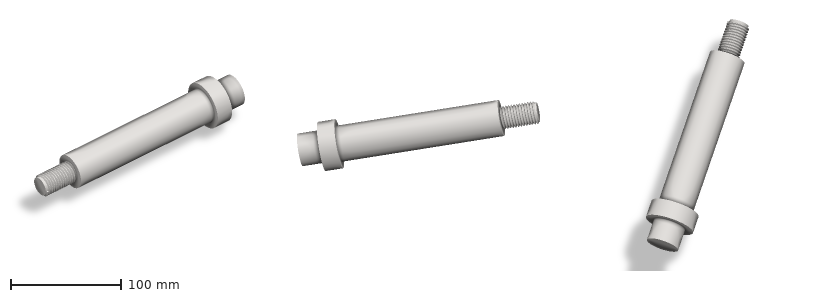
import cadquery as cq
import math

total_length = 220.0
stub_length = 20.0
collar_length = 16.0
shaft_length = 149.8
stud_length = total_length - stub_length - collar_length - shaft_length

collar_diameter = 45.0
shaft_diameter = 33.0
stub_diameter = 30.0
thread_diameter = 21.0

collar_fillet = 0.7

tip_clearance = 0.5
thread_turns = 13.3
thread_pitch = (stud_length - tip_clearance) / thread_turns
thread_depth = 1.5
core_diameter = thread_diameter - 2 * thread_depth
crest_width = thread_pitch / 8
root_overlap = 0.2
flank_angle = math.radians(30)

tip_y = -total_length / 2
shaft_y = tip_y + stud_length
collar_y = shaft_y + shaft_length
stub_y = collar_y + collar_length
end_y = total_length / 2


def cylinder(diameter, start_y, length):
    """Cylinder on the Y axis, running toward +Y from start_y."""
    return cq.Workplane("XZ", origin=(0, start_y, 0)).circle(diameter / 2).extrude(-length)


def make_rod():
    """Plain shaft, collar and end stub as one turned piece, revolved from its half outline."""
    shaft_radius = shaft_diameter / 2
    collar_radius = collar_diameter / 2
    stub_radius = stub_diameter / 2
    half_outline = (
        cq.Workplane("YZ")
        .moveTo(shaft_y, 0)
        .lineTo(shaft_y, shaft_radius)
        .lineTo(collar_y - collar_fillet, shaft_radius)
        .tangentArcPoint((collar_y, shaft_radius + collar_fillet), relative=False)
        .lineTo(collar_y, collar_radius)
        .lineTo(stub_y, collar_radius)
        .lineTo(stub_y, stub_radius + collar_fillet)
        .tangentArcPoint((stub_y + collar_fillet, stub_radius), relative=False)
        .lineTo(end_y, stub_radius)
        .lineTo(end_y, 0)
        .close()
    )
    return half_outline.revolve(360, (0, 0, 0), (1, 0, 0))


def make_thread_ridge():
    """Right-hand helical ridge, swept along Z and then laid on Y; it starts on the +X side of the tip."""
    inner_radius = core_diameter / 2 - root_overlap
    crest_radius = thread_diameter / 2
    half_crest = crest_width / 2
    half_base = half_crest + (crest_radius - inner_radius) * math.tan(flank_angle)
    start_y = tip_y + tip_clearance + half_base
    helix_length = shaft_y + thread_pitch - start_y
    helix = cq.Wire.makeHelix(thread_pitch, helix_length, inner_radius)
    ridge = (
        cq.Workplane("XZ")
        .moveTo(inner_radius, -half_base)
        .lineTo(crest_radius, -half_crest)
        .lineTo(crest_radius, half_crest)
        .lineTo(inner_radius, half_base)
        .close()
        .sweep(cq.Workplane(obj=helix), isFrenet=True)
    )
    return ridge.rotate((0, 0, 0), (1, 0, 0), -90).translate((0, start_y, 0))


def make_stud():
    """Threaded stud that butts against the end face of the shaft."""
    trim_length = 2 * thread_pitch
    core = cylinder(core_diameter, tip_y, stud_length + trim_length)
    surplus = cylinder(shaft_diameter, shaft_y, 2 * trim_length)
    return core.union(make_thread_ridge()).cut(surplus)


rod = make_rod()
stud = make_stud()

result = cq.Compound.makeCompound([rod.val(), stud.solids().val()])